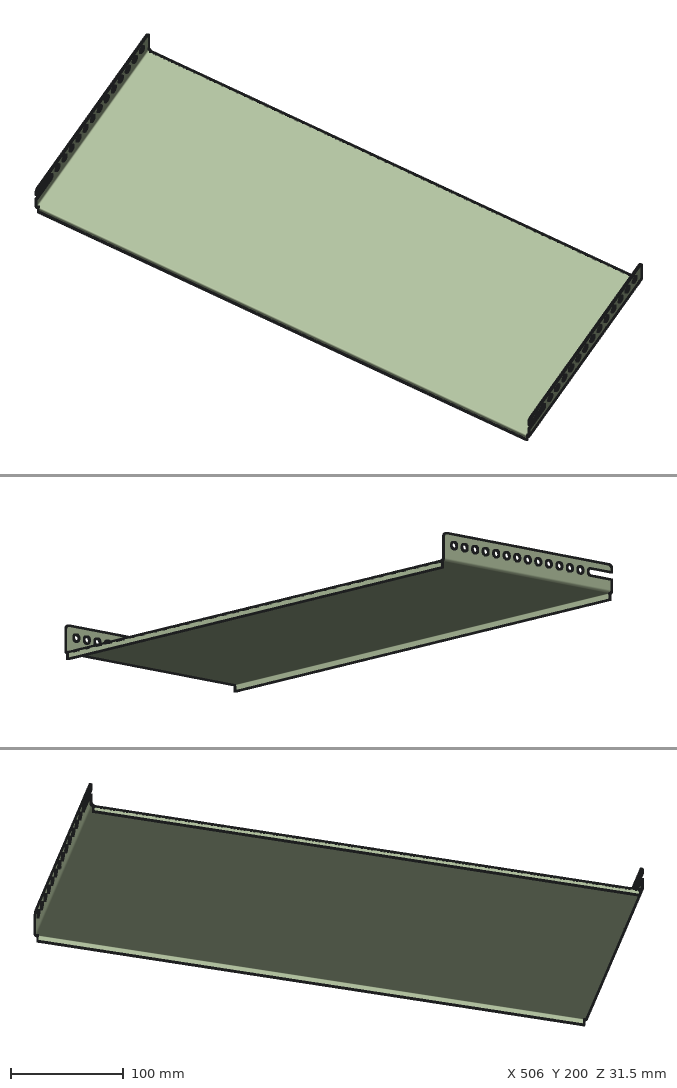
import cadquery as cq

length = 506.0
width = 200.0
height = 31.5

thickness = 1.0
flange_bend = 2.5
lip_bend = 1.5
plate_bottom = 5.5
plate_top = plate_bottom + thickness

hole_diameter = 6.5
hole_count = 13
pitch = width / 16
hole_height = 21.0
corner_radius = 4.0

flat_length = length - 2 * flange_bend
flat_width = width - 2 * lip_bend


def bent_strip(plane, span, bend_radius, sign, bend_height, edge_height):
    """Bend and straight leg leaving the flat sheet, starting where the flat ends.

    bend_height is the level of the sheet face on the outside of the bend,
    edge_height that of the free edge. sign is +1 for an upward leg, -1 for a downward one.
    """
    inner_radius = bend_radius - thickness
    bend_center = bend_height + sign * bend_radius
    inner_height = bend_height + sign * thickness
    return (
        cq.Workplane(plane)
        .moveTo(0, bend_height)
        .radiusArc((bend_radius, bend_center), -sign * bend_radius)
        .lineTo(bend_radius, edge_height)
        .lineTo(inner_radius, edge_height)
        .lineTo(inner_radius, bend_center)
        .radiusArc((0, inner_height), sign * inner_radius)
        .close()
        .extrude(span / 2, both=True)
    )


def end_flange():
    """Upright flange at the +X end with rounded top corners."""
    flange = bent_strip("XZ", width, flange_bend, 1, plate_bottom, height)
    flange = flange.translate((flat_length / 2, 0, 0))
    return flange.edges("|X and >Z").edges("<Y or >Y").fillet(corner_radius)


def side_lip():
    """Downturned lip along the +Y side, stopping short of the end bends."""
    lip = bent_strip("YZ", flat_length, lip_bend, -1, plate_top, 0)
    return lip.translate((0, flat_width / 2, 0))


def flange_cutters():
    """Holes through both flanges and a round-ended slot open at -Y."""
    hole_points = [(width / 2 - i * pitch, hole_height) for i in range(1, hole_count + 1)]
    slot_center = width / 2 - (hole_count + 1) * pitch
    slot_length = slot_center + width / 2
    holes = (
        cq.Workplane("YZ")
        .pushPoints(hole_points + [(slot_center, hole_height)])
        .circle(hole_diameter / 2)
        .extrude(length, both=True)
    )
    slot = (
        cq.Workplane("YZ")
        .center(slot_center - slot_length / 2, hole_height)
        .rect(slot_length, hole_diameter)
        .extrude(length, both=True)
    )
    return holes.union(slot)


plate = (
    cq.Workplane("XY", origin=(0, 0, plate_bottom))
    .rect(flat_length, flat_width)
    .extrude(thickness)
)
flange = end_flange()
lip = side_lip()

result = (
    plate.union(flange)
    .union(flange.mirror("YZ"))
    .union(lip)
    .union(lip.mirror("XZ"))
    .cut(flange_cutters())
)